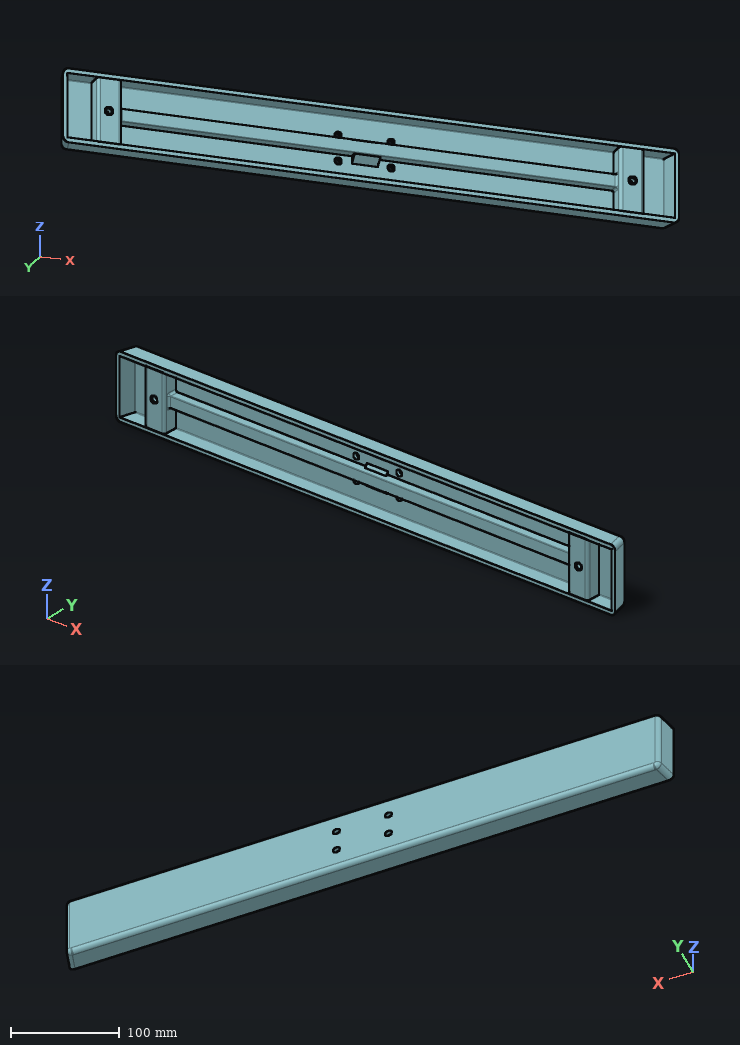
import cadquery as cq
import math

length = 603.0
depth = 22.0
height = 73.0
wall = 5.0
end_wall = 4.0
end_draft = 15.0
corner_radius = 5.5
back_edge_radius = 5.0
floor_edge_radius = 0.5

block_recess = 0.5
block_inner_x = 243.5
block_outer_x = 268.0
block_edge_radius = 3.0

screw_x = 256.0
screw_diameter = 6.0
screw_depth = 9.0
counterbore_diameter = 8.0
counterbore_depth = 1.0

rail_height = 12.5
rail_rise = 10.0
rail_end_radius = 2.5
rail_edge_radius = 0.5

mount_x = 26.0
mount_z = 12.5
mount_diameter = 6.5

wedge_length = 25.5
upper_wedge_reach = 3.5
upper_wedge_rise = 3.0
lower_wedge_reach = 7.0
lower_wedge_rise = 7.0

floor_y = depth - wall
rail_y = floor_y - rail_rise
cavity_height = height - 2 * wall
draft_slope = math.tan(math.radians(end_draft))

margin = 0.5


def tapered_bar(front_half, bar_depth, bar_height):
    """Bar from y = 0 to bar_depth whose two ends draw in towards the back."""
    back_half = front_half - bar_depth * draft_slope
    points = [(-front_half, 0), (front_half, 0), (back_half, bar_depth), (-back_half, bar_depth)]
    return cq.Workplane("XY").polyline(points).close().extrude(bar_height / 2, both=True)


def cylinder_along_y(x, y, z, diameter, cylinder_depth):
    """Cylinder that starts at (x, y, z) and runs towards the back."""
    solid = cq.Solid.makeCylinder(diameter / 2, cylinder_depth, cq.Vector(x, y, z), cq.Vector(0, 1, 0))
    return cq.Workplane(solid)


def make_tray():
    """Open tray with rounded corners and a rounded back edge."""
    body = tapered_bar(length / 2, depth, height)
    body = body.faces("<X or >X").edges("not |Z").fillet(corner_radius)
    body = body.faces(">Y").edges().fillet(back_edge_radius)
    cavity = tapered_bar(length / 2 - end_wall, floor_y, cavity_height)
    cavity = cavity.faces(">Y").edges().fillet(floor_edge_radius)
    return body.cut(cavity)


def make_block(side):
    """Cross block with rounded front edges; side is -1 or +1 along X."""
    size_x = block_outer_x - block_inner_x
    block = cq.Workplane("XY").box(size_x, floor_y - block_recess, cavity_height, centered=(True, False, True))
    block = block.faces("<Y").edges("|Z").fillet(block_edge_radius)
    return block.translate((side * (block_inner_x + block_outer_x) / 2, block_recess, 0))


def make_frame():
    """Rail and both blocks, with the rail ends blended into the blocks."""
    rail = cq.Workplane("XY").box(2 * block_inner_x, rail_rise, rail_height, centered=(True, False, True))
    rail = rail.faces("<Y").edges("|X").fillet(rail_edge_radius)
    frame = rail.translate((0, rail_y, 0))
    for side in (-1, 1):
        frame = frame.union(make_block(side))
    joints = cq.selectors.BoxSelector(
        (-block_inner_x - margin, rail_y - margin, -rail_height / 2 - margin),
        (block_inner_x + margin, floor_y - margin, rail_height / 2 + margin),
    )
    return frame.edges(joints).edges("not |X").fillet(rail_end_radius)


def make_wedge(direction, reach, rise):
    """Wedge on one side of the rail; direction is +1 above it, -1 below it."""
    rail_side = direction * rail_height / 2
    points = [
        (floor_y, rail_side),
        (floor_y, rail_side + direction * reach),
        (floor_y - rise, rail_side),
    ]
    return cq.Workplane("YZ").polyline(points).close().extrude(wedge_length / 2, both=True)


result = make_tray().union(make_frame())
result = result.union(make_wedge(1, upper_wedge_reach, upper_wedge_rise))
result = result.union(make_wedge(-1, lower_wedge_reach, lower_wedge_rise))

for side in (-1, 1):
    x = side * screw_x
    result = result.cut(cylinder_along_y(x, block_recess, 0, counterbore_diameter, counterbore_depth))
    result = result.cut(cylinder_along_y(x, block_recess, 0, screw_diameter, screw_depth))
    for level in (-1, 1):
        hole = cylinder_along_y(side * mount_x, floor_y, level * mount_z, mount_diameter, wall)
        result = result.cut(hole)